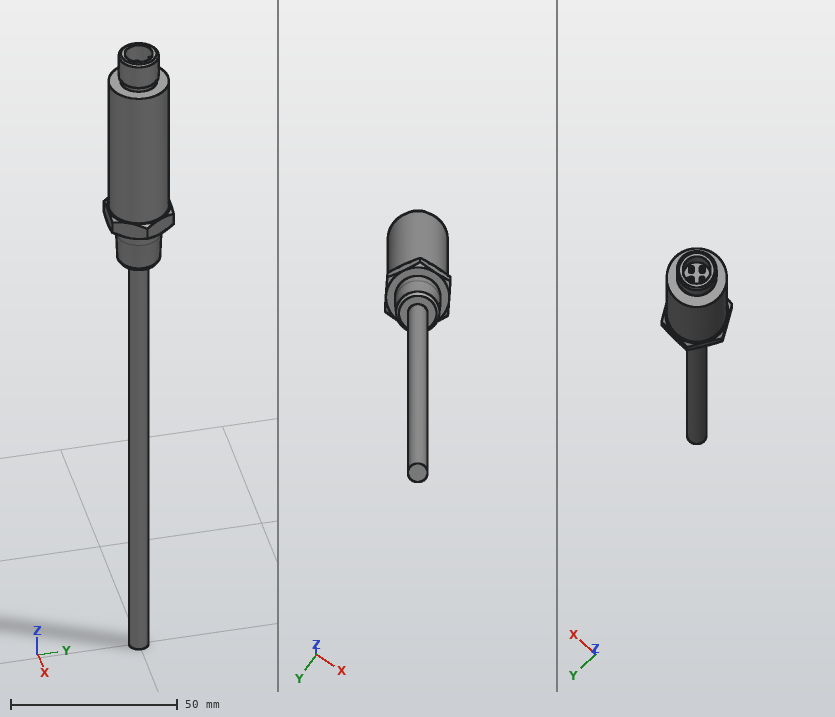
import cadquery as cq
import math

total_length = 221.0
top = total_length / 2
bottom = -top

head_length = 8.8
head_top_chamfer = 0.7
neck_diameter = 11.0
neck_length = 1.3
socket_diameter = 8.5
head_wall = 1.81
head_diameter = socket_diameter + 2 * head_wall
socket_depth = 7.7

pin_count = 4
pin_diameter = 1.5
pin_tip_chamfer = 0.5
pin_circle_diameter = 4.6
pin_length = 3.3
key_width = 1.0
key_height = 1.0
key_recess = 2.2

housing_top = top - head_length - neck_length
housing_diameter = 18.1
housing_length = 46.6

hex_across_flats = 19.0
hex_height = 5.5
hex_chamfer_diameter = hex_across_flats
hex_chamfer_slope = 0.6
hex_top = housing_top - housing_length
hex_bottom = hex_top - hex_height

collar_diameter = 13.7
collar_length = 4.5
taper_end_diameter = 13.0
taper_length = 8.8
tip_diameter = 11.3
tip_length = 1.3
collar_bottom = hex_bottom - collar_length
taper_bottom = collar_bottom - taper_length
tip_bottom = taper_bottom - tip_length

stem_diameter = 6.0


def cylinder(diameter, z_low, z_high):
    return cq.Workplane("XY").workplane(offset=z_low).circle(diameter / 2).extrude(z_high - z_low)


def connector_shell():
    head = cylinder(head_diameter, top - head_length, top)
    head = head.faces(">Z").chamfer(head_top_chamfer)
    head = head.faces("<Z").chamfer((head_diameter - neck_diameter) / 2)
    neck = cylinder(neck_diameter, housing_top, top - head_length)
    socket = cylinder(socket_diameter, top - socket_depth, top)
    return head.union(neck).cut(socket)


def connector_pins():
    pin_base = cq.Workplane("XY").workplane(offset=top - socket_depth)
    positions = pin_base.polarArray(pin_circle_diameter / 2, 0, 360, pin_count)
    pins = positions.circle(pin_diameter / 2).extrude(pin_length)
    return pins.faces(">Z").chamfer(pin_tip_chamfer)


def connector_key():
    wall_middle_radius = (socket_diameter + neck_diameter) / 4
    inner_face = socket_diameter / 2 - key_height
    key_middle = (inner_face + wall_middle_radius) / 2
    return (
        cq.Workplane("XY")
        .workplane(offset=top - socket_depth)
        .center(0, key_middle)
        .rect(key_width, wall_middle_radius - inner_face)
        .extrude(socket_depth - key_recess)
    )


def hexagon():
    corner_diameter = hex_across_flats / math.cos(math.pi / 6)
    prism = (
        cq.Workplane("XY")
        .workplane(offset=hex_bottom)
        .polygon(6, corner_diameter)
        .extrude(hex_height)
    )
    chamfer_width = (corner_diameter - hex_chamfer_diameter) / 2
    blank = cylinder(corner_diameter, hex_bottom, hex_top)
    blank = blank.faces("<Z or >Z").chamfer(hex_chamfer_slope * chamfer_width, chamfer_width)
    return prism.intersect(blank)


def threaded_end():
    return (
        cq.Workplane("XZ")
        .moveTo(0, hex_bottom)
        .lineTo(collar_diameter / 2, hex_bottom)
        .lineTo(collar_diameter / 2, collar_bottom)
        .lineTo(taper_end_diameter / 2, taper_bottom)
        .lineTo(tip_diameter / 2, tip_bottom)
        .lineTo(0, tip_bottom)
        .close()
        .revolve(360, (0, 0, 0), (0, 1, 0))
    )


housing = cylinder(housing_diameter, hex_top, housing_top)
stem = cylinder(stem_diameter, bottom, tip_bottom)

result = (
    housing.union(connector_shell())
    .union(connector_pins())
    .union(connector_key())
    .union(hexagon())
    .union(threaded_end())
    .union(stem)
)